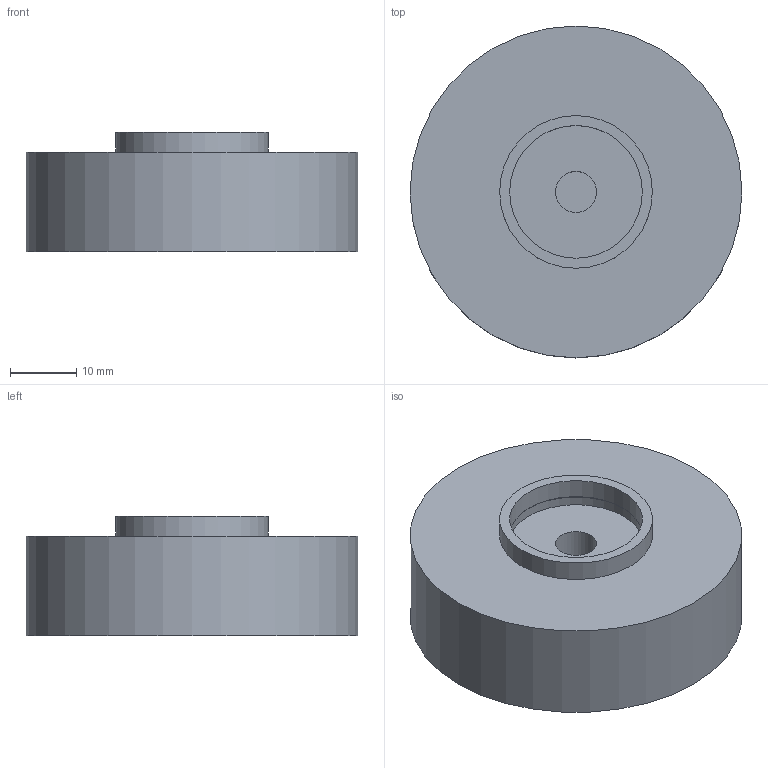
import cadquery as cq

body_diameter = 50.0
body_height = 15.0

collar_diameter = 23.0
collar_height = 3.0

collar_bore_diameter = 20.0
seat_diameter = 20.2
seat_depth = 1.5

center_hole_diameter = 6.2
center_hole_depth = 10.0

total_height = body_height + collar_height
recess_floor = body_height - seat_depth


def cylinder(diameter, bottom, top):
    """Cylinder on the Z axis between two heights."""
    return cq.Workplane("XY").workplane(offset=bottom).circle(diameter / 2).extrude(top - bottom)


body = cylinder(body_diameter, 0, body_height)
collar = cylinder(collar_diameter, 0, total_height)
collar_bore = cylinder(collar_bore_diameter, recess_floor, total_height)
seat = cylinder(seat_diameter, recess_floor, body_height)
center_hole = cylinder(center_hole_diameter, recess_floor - center_hole_depth, total_height)

result = body.union(collar).cut(collar_bore).cut(seat).cut(center_hole)